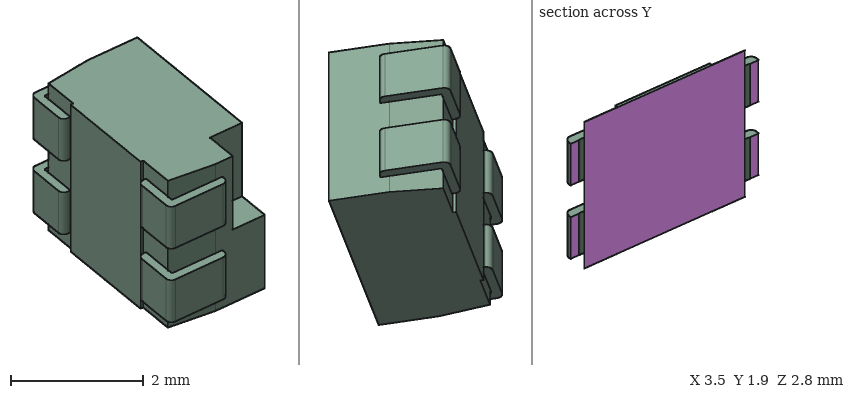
import cadquery as cq

length = 3.5
depth = 1.9
height = 2.8
back_y = depth / 2
front_y = -depth / 2

lead_thickness = 0.15
lead_foot = 0.8
lead_rise = 1.1
lead_width = 0.8
lead_pitch = 1.4
lead_outer_radius = 0.1
lead_inner_radius = 0.018

body_half = length / 2 - lead_thickness
body_front_y = front_y + lead_thickness
taper_start_y = back_y - 0.935
taper_inset = 0.1

pad_width = 1.757
pad_thickness = 0.05

notch_length = 0.57
notch_depth = 0.605
notch_height = height / 2


def make_body():
    """Block with sides that taper toward the front face."""
    return (
        cq.Workplane("XY", origin=(0, 0, -height / 2))
        .moveTo(-body_half, back_y)
        .lineTo(body_half, back_y)
        .lineTo(body_half, taper_start_y)
        .lineTo(body_half - taper_inset, body_front_y)
        .lineTo(-body_half + taper_inset, body_front_y)
        .lineTo(-body_half, taper_start_y)
        .close()
        .extrude(height)
    )


def make_pad():
    """Thin strip standing proud of the front face over the full height."""
    return cq.Workplane("XY").box(
        pad_width, pad_thickness, height, centered=(True, False, True)
    ).translate((0, body_front_y - pad_thickness, 0))


def make_notch():
    """Cutter for the notch in the upper back corner."""
    return cq.Workplane("XY").box(
        notch_length, notch_depth, notch_height, centered=False
    ).translate((body_half - notch_length, back_y - notch_depth, height / 2 - notch_height))


def make_left_lead(center_z):
    """Bent strip: one arm on the left side, a foot along the front."""
    outer_x = -length / 2
    inner_x = outer_x + lead_thickness
    tip_x = outer_x + lead_foot
    top_y = front_y + lead_rise
    lead = (
        cq.Workplane("XY", origin=(0, 0, center_z - lead_width / 2))
        .moveTo(outer_x, front_y)
        .lineTo(tip_x, front_y)
        .lineTo(tip_x, body_front_y)
        .lineTo(inner_x, body_front_y)
        .lineTo(inner_x, top_y)
        .lineTo(outer_x, top_y)
        .close()
        .extrude(lead_width)
    )
    for corner in [(outer_x, front_y), (tip_x, front_y), (outer_x, top_y)]:
        edge = cq.selectors.NearestToPointSelector((*corner, center_z))
        lead = lead.edges("|Z").edges(edge).fillet(lead_outer_radius)
    inner_edge = cq.selectors.NearestToPointSelector((inner_x, body_front_y, center_z))
    return lead.edges("|Z").edges(inner_edge).fillet(lead_inner_radius)


result = make_body().union(make_pad()).cut(make_notch())
for lead_z in (-lead_pitch / 2, lead_pitch / 2):
    left_lead = make_left_lead(lead_z)
    result = result.union(left_lead).union(left_lead.mirror("YZ"))